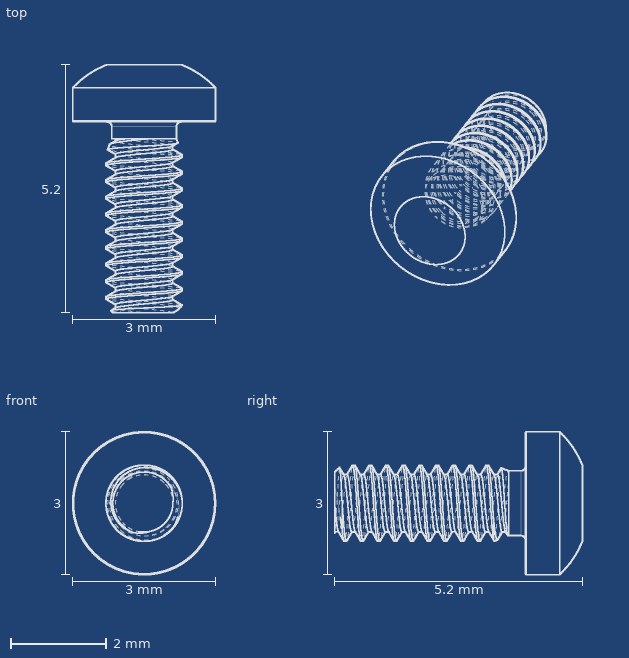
import cadquery as cq
import math

total_length = 5.2
head_height = 1.2
head_diameter = 3.0
head_radius = head_diameter / 2
head_rim_height = 0.72
dome_flat_radius = 0.79
dome_bulge = 0.045
rim_chamfer = 0.02

shank_length = total_length - head_height
neck_radius = 0.68
neck_length = 0.355
neck_fillet = 0.095
crest_radius = 0.8
root_radius = 0.605
runout_length = 0.31
tip_radius = 0.655
tip_chamfer_length = 0.155

ten_turn_advance = 3.5
pitch = ten_turn_advance / 10
crest_flat = pitch / 8
flank_slope = math.tan(math.radians(30))
groove_end_depth = 0.185
groove_turns = 12
cutter_overhang = 0.025
rod_seam_angle = 97


def revolve_about_z(outline):
    """Solid of revolution from a closed outline in the XZ plane."""
    return outline.close().revolve(360, (0, 0, 0), (0, 1, 0))


def head_and_neck():
    """Domed head with the plain neck below it."""
    chord_radius = (head_radius + dome_flat_radius) / 2
    chord_height = (head_rim_height + head_height) / 2
    dome_run = head_radius - dome_flat_radius
    dome_rise = head_height - head_rim_height
    chord = math.hypot(dome_run, dome_rise)
    dome_middle = (
        chord_radius + dome_bulge * dome_rise / chord,
        chord_height + dome_bulge * dome_run / chord,
    )
    fillet_offset = neck_fillet * (1 - math.sqrt(0.5))
    outline = (
        cq.Workplane("XZ")
        .moveTo(0, head_height)
        .lineTo(dome_flat_radius, head_height)
        .threePointArc(dome_middle, (head_radius, head_rim_height))
        .lineTo(head_radius, rim_chamfer)
        .lineTo(head_radius - rim_chamfer, 0)
        .lineTo(neck_radius + neck_fillet, 0)
        .threePointArc(
            (neck_radius + fillet_offset, -fillet_offset),
            (neck_radius, -neck_fillet),
        )
        .lineTo(neck_radius, -neck_length)
        .lineTo(0, -neck_length)
    )
    return revolve_about_z(outline)


def thread_envelope():
    """Outer limit of the thread, tapered at the neck and chamfered at the tip."""
    outline = (
        cq.Workplane("XZ")
        .moveTo(0, -neck_length)
        .lineTo(neck_radius, -neck_length)
        .lineTo(crest_radius, -neck_length - runout_length)
        .lineTo(crest_radius, tip_chamfer_length - shank_length)
        .lineTo(tip_radius, -shank_length)
        .lineTo(0, -shank_length)
    )
    return revolve_about_z(outline)


def thread_groove():
    """Helical V groove with a flat root, running from below the tip past the neck end of the thread."""
    groove_length = groove_turns * pitch
    start_height = -groove_end_depth - groove_length
    half_at_crest = (pitch - crest_flat) / 2
    half_at_root = half_at_crest - (crest_radius - root_radius) * flank_slope
    half_outside = half_at_crest + cutter_overhang * flank_slope
    outside_radius = crest_radius + cutter_overhang
    path = cq.Wire.makeHelix(pitch, groove_length, root_radius, center=cq.Vector(0, 0, start_height))
    return (
        cq.Workplane("XZ")
        .polyline([
            (root_radius, start_height - half_at_root),
            (outside_radius, start_height - half_outside),
            (outside_radius, start_height + half_outside),
            (root_radius, start_height + half_at_root),
        ])
        .close()
        .sweep(cq.Workplane(obj=path), isFrenet=True)
    )


def threaded_shank():
    """Grooved rod trimmed to the tapered envelope of the thread."""
    rod = (
        cq.Workplane("XY")
        .circle(crest_radius)
        .extrude(-shank_length)
        .rotate((0, 0, 0), (0, 0, 1), rod_seam_angle)
    )
    return rod.cut(thread_groove()).intersect(thread_envelope())


screw = head_and_neck().union(threaded_shank())
result = screw.rotate((0, 0, 0), (1, 0, 0), -90)